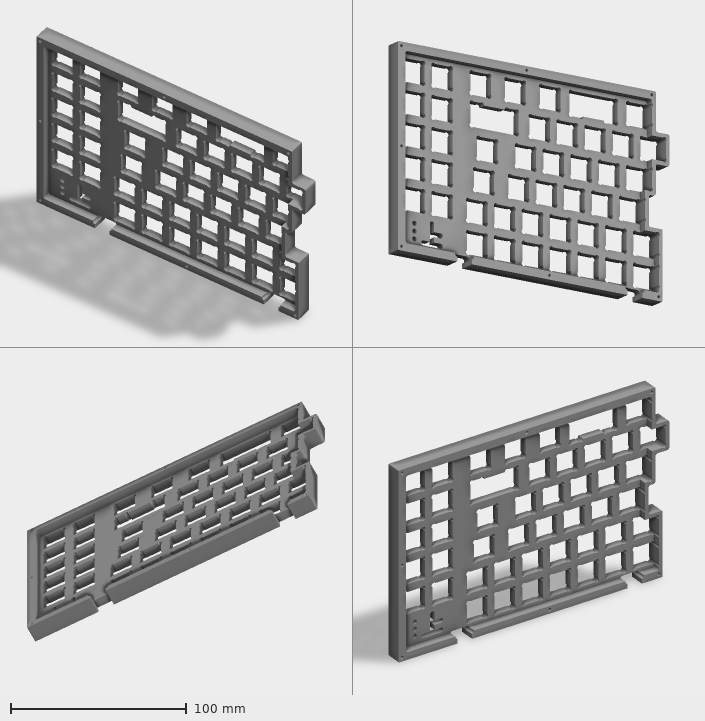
import cadquery as cq
length = 186.0
height = 124.2
thickness = 10.0
border = thickness / 2
recess_depth = 5.0

grid_columns = 9.5
grid_rows = 6
pitch = (length - border) / grid_columns
bottom_border = height - border - grid_rows * pitch
cutout = pitch - border
corner_relief_radius = 1.5
corner_relief_reach = 0.5
corner_relief_inset = corner_relief_radius - corner_relief_reach
side_wall = border / 2
round_radius = 1.5
small_corner_radius = 0.5

key_rows = [
    [2.75 + i for i in range(7)],
    [0.5, 1.5] + [2.75 + i for i in range(7)],
    [0.5, 1.5, 3] + [4.25 + i for i in range(5)],
    [0.5, 1.5, 3.125] + [4.5 + i for i in range(5)],
    [0.5, 1.5] + [5 + i for i in range(5)],
    [0.5, 1.5, 2.875, 4.125, 5.375, 8.5],
]

wide_cutout = 33.0
leg_width = 9.0
leg_reach = 1.1
upper_wide_key = (6.94, 5.5)
lower_wide_key = (3.375, 4.5)

screw_diameter = 1.7
screw_mouth_radius = 1.1
screw_tip_depth = 0.5
screw_depth = recess_depth

notch_columns = (2.125, 8.25)
notch_width = 10.0
notch_slot_radius = 1.5
notch_slot_z = 4.5
notch_top = 5.8

indicator_diameter = 3.0
indicator_spacing = 4.6
indicator_middle_z = 14.9

branch_width = 3.0
branch_end_radius = 1.3
stem_x = 26.6
stem_top_z = 22.7
base_z = 9.0
base_length = 14.7
arm_z = 15.0


def grid_x(column):
    return border + column * pitch


def grid_z(row):
    return bottom_border + row * pitch


def front_plane(x=0.0, z=0.0):
    return cq.Workplane("XZ", origin=(x, 0, z))


def box(x_min, x_max, z_min, z_max, depth=thickness):
    """Block from the front face to the given depth."""
    return cq.Workplane("XY").box(
        x_max - x_min, depth, z_max - z_min, centered=False
    ).translate((x_min, 0, z_min))


def cylinder(points, radius, depth=thickness):
    return front_plane().pushPoints(points).circle(radius).extrude(-depth)


low_right = grid_x(9.25)
waist_right = grid_x(8.75)
main_right = grid_x(9)
low_top = grid_z(2)
waist_top = grid_z(3)
tab_bottom = grid_z(4)
tab_top = grid_z(5)


def plate_blank():
    outline = [
        (0, 0), (low_right, 0), (low_right, low_top), (waist_right, low_top),
        (waist_right, waist_top), (main_right, waist_top), (main_right, tab_bottom),
        (length, tab_bottom), (length, tab_top), (main_right, tab_top),
        (main_right, height), (0, height),
    ]
    blank = front_plane().polyline(outline).close().extrude(-thickness)
    rounded_corners = [
        (waist_right, low_top), (waist_right, waist_top), (main_right, waist_top),
        (main_right, tab_bottom), (length, tab_bottom), (length, tab_top), (main_right, tab_top),
    ]
    for x, z in rounded_corners:
        edge = cq.selectors.NearestToPointSelector((x, thickness / 2, z))
        blank = blank.edges("|Y").edges(edge).fillet(round_radius)
    small_corners = [(0, 0), (0, height), (main_right, height), (low_right, low_top), (low_right, 0)]
    for x, z in small_corners:
        edge = cq.selectors.NearestToPointSelector((x, thickness / 2, z))
        blank = blank.edges("|Y").edges(edge).fillet(small_corner_radius)
    return blank


def recess():
    low_edge = low_right - side_wall
    waist_edge = waist_right - side_wall
    main_edge = main_right - side_wall
    low_end = low_top - side_wall
    main_start = waist_top + side_wall
    recess_top = height - border
    pocket = (
        front_plane()
        .polyline([
            (border, bottom_border), (low_edge, bottom_border), (low_edge, low_end), (waist_edge, low_end),
            (waist_edge, main_start), (main_edge, main_start), (main_edge, recess_top), (border, recess_top),
        ])
        .close()
        .extrude(-recess_depth)
    )
    rounded_corners = [
        (border, bottom_border), (low_edge, bottom_border), (main_edge, recess_top), (border, recess_top),
    ]
    for x, z in rounded_corners:
        edge = cq.selectors.NearestToPointSelector((x, recess_depth / 2, z))
        pocket = pocket.edges("|Y").edges(edge).fillet(round_radius)
    return pocket


def relieved_box(width, z_low, z_high, relief_corners):
    """Opening centred on x = 0 with round reliefs just inside the listed corners."""
    opening = box(-width / 2, width / 2, z_low, z_high)
    return opening.union(cylinder(relief_corners, corner_relief_radius))


def key_cutout():
    reach = cutout / 2 - corner_relief_inset
    corners = [(sx * reach, sz * reach) for sx in (-1, 1) for sz in (-1, 1)]
    return relieved_box(cutout, -cutout / 2, cutout / 2, corners)


def wide_key_cutout():
    """Wide opening with its stabilizer legs pointing down."""
    outer = wide_cutout / 2
    inner = outer - leg_width
    leg_bottom = -cutout / 2 - leg_reach
    relief_outer = outer - corner_relief_inset
    relief_inner = inner + corner_relief_inset
    relief_bottom = leg_bottom + corner_relief_inset
    corners = []
    for side in (-1, 1):
        corners += [
            (side * relief_outer, cutout / 2 - corner_relief_inset),
            (side * relief_outer, relief_bottom),
            (side * relief_inner, relief_bottom),
        ]
    opening = relieved_box(wide_cutout, -cutout / 2, cutout / 2, corners)
    for left in (-outer, inner):
        opening = opening.union(box(left, left + leg_width, leg_bottom, 0))
    return opening


def screw_holes():
    inset = border / 2
    top = height - inset
    points = [
        (inset, inset), (inset, height / 2), (inset, top),
        (main_right / 2, top), (main_right - side_wall, top),
        (grid_x(sum(notch_columns) / 2), inset), (low_right - side_wall, inset),
    ]
    radius = screw_diameter / 2
    bottom = screw_depth + screw_tip_depth
    profile = [
        (0, 0), (screw_mouth_radius, 0), (radius, screw_mouth_radius - radius),
        (radius, screw_depth), (0, bottom),
    ]
    hole = cq.Workplane("XY").polyline(profile).close().revolve(360, (0, 0, 0), (0, 1, 0))
    holes = cq.Workplane("XY")
    for x, z in points:
        holes = holes.union(hole.translate((x, 0, z)))
    return holes


def notch(column):
    mouth = box(-notch_width / 2, notch_width / 2, 0, notch_top)
    cross_slot = (
        front_plane(z=notch_slot_z)
        .slot2D(notch_width + 2 * notch_slot_radius, 2 * notch_slot_radius)
        .extrude(-thickness)
    )
    return mouth.union(cross_slot).translate((grid_x(column), 0, 0))


def indicator_holes():
    points = [(grid_x(0.5), indicator_middle_z + i * indicator_spacing) for i in (-1, 0, 1)]
    return cylinder(points, indicator_diameter / 2)


def branched_slot():
    half_width = branch_width / 2
    base_left = stem_x - base_length / 2
    base_right = stem_x + base_length / 2
    stem_end = stem_top_z - half_width
    stem = box(stem_x - half_width, stem_x + half_width, base_z, stem_end)
    stem = stem.union(cylinder([(stem_x, stem_end)], half_width))
    base = box(base_left, base_right, base_z - half_width, base_z + half_width)
    arm = box(stem_x, base_right, arm_z - half_width, arm_z + half_width)
    base = base.edges("|Y").fillet(branch_end_radius)
    arm = arm.edges("|Y and >X").fillet(branch_end_radius)
    return stem.union(base).union(arm)


result = plate_blank().cut(recess())

single_key = key_cutout()
for row, columns in enumerate(key_rows):
    for column in columns:
        result = result.cut(single_key.translate((grid_x(column), 0, grid_z(row + 0.5))))

wide_key = wide_key_cutout()
wide_key_legs_up = wide_key.mirror("XY")
for shape, (column, row) in ((wide_key, upper_wide_key), (wide_key_legs_up, lower_wide_key)):
    result = result.cut(shape.translate((grid_x(column), 0, grid_z(row))))

for column in notch_columns:
    result = result.cut(notch(column))

result = result.cut(screw_holes()).cut(indicator_holes()).cut(branched_slot())